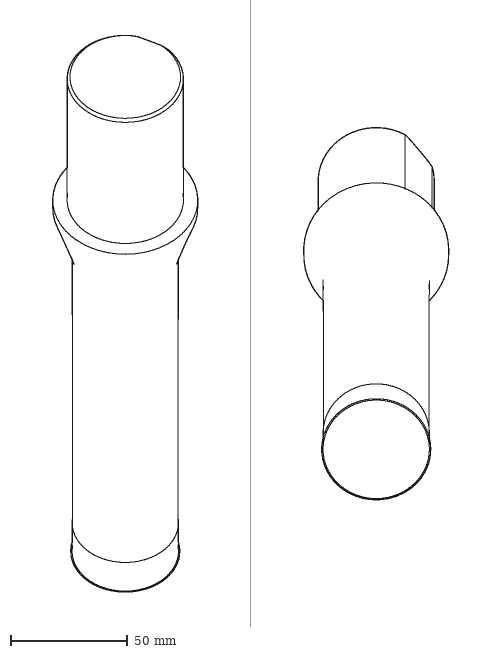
import cadquery as cq
import math

total_length = 309.0
shank_diameter = 50.0
collar_diameter = 62.5
neck_diameter = 45.7
body_diameter = 45.5
cutting_diameter = 47.0

cutting_edge_z = 1.5
head_top_z = 20.0
relief_top_z = 23.0
body_top_z = 115.2
neck_bottom_z = 187.2
blend_bottom_z = 192.8
cone_bottom_z = 194.7
collar_bottom_z = 223.7
collar_top_z = 229.3

shank_chamfer = 1.2
flat_distance = 23.2
flat_bottom_z = collar_top_z + 3.7


def make_cutting_head():
    """Short head with a thin cutting rim and a shallow domed end face."""
    cutting_radius = cutting_diameter / 2
    neck_radius = neck_diameter / 2
    dome_radius = (cutting_radius**2 + cutting_edge_z**2) / (2 * cutting_edge_z)
    half_angle = math.asin(cutting_radius / dome_radius) / 2
    dome_mid = (dome_radius * math.sin(half_angle), dome_radius * (1 - math.cos(half_angle)))
    return (
        cq.Workplane("XZ")
        .moveTo(0, 0)
        .threePointArc(dome_mid, (cutting_radius, cutting_edge_z))
        .lineTo(neck_radius, cutting_edge_z)
        .lineTo(neck_radius, head_top_z)
        .lineTo(0, head_top_z)
        .close()
        .revolve(360, (0, 0, 0), (0, 1, 0))
    )


def cut_shank_flat(holder):
    """Mill the flat on the +Y side of the shank, stopping above the collar."""
    cutter = cq.Workplane("XY").box(
        shank_diameter,
        shank_diameter,
        total_length - flat_bottom_z,
        centered=(True, False, False),
    )
    return holder.cut(cutter.translate((0, flat_distance, flat_bottom_z)))


def make_holder():
    """Shank, collar, cone and slender tapering body turned from one piece."""
    shank_radius = shank_diameter / 2
    collar_radius = collar_diameter / 2
    neck_radius = neck_diameter / 2
    body_radius = body_diameter / 2
    cone_angle = math.atan2(collar_radius - neck_radius, collar_bottom_z - cone_bottom_z)
    blend_length = cone_bottom_z - blend_bottom_z
    blend_top = (
        neck_radius + blend_length * math.sin(cone_angle),
        cone_bottom_z + blend_length * math.cos(cone_angle),
    )
    holder = (
        cq.Workplane("XZ")
        .moveTo(0, head_top_z)
        .lineTo(neck_radius, head_top_z)
        .lineTo(body_radius, relief_top_z)
        .lineTo(body_radius, body_top_z)
        .lineTo(neck_radius, neck_bottom_z)
        .lineTo(neck_radius, blend_bottom_z)
        .tangentArcPoint(blend_top, relative=False)
        .lineTo(collar_radius, collar_bottom_z)
        .lineTo(collar_radius, collar_top_z)
        .lineTo(shank_radius, collar_top_z)
        .lineTo(shank_radius, total_length - shank_chamfer)
        .lineTo(shank_radius - shank_chamfer, total_length)
        .lineTo(0, total_length)
        .close()
        .revolve(360, (0, 0, 0), (0, 1, 0))
    )
    return cut_shank_flat(holder)


cutting_head = make_cutting_head()
holder = make_holder()
result = cq.Compound.makeCompound([holder.val(), cutting_head.val()])